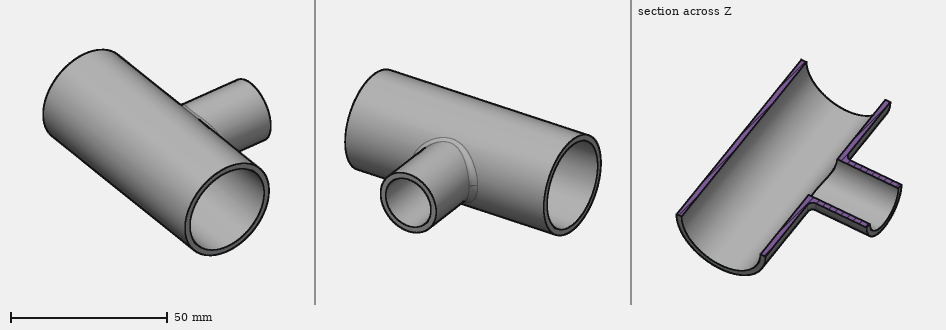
import cadquery as cq

RUN_LENGTH = 76.0
RUN_OUTER_DIAMETER = 33.7
RUN_BORE_DIAMETER = 29.7
BRANCH_OUTER_DIAMETER = 21.3
BRANCH_BORE_DIAMETER = 17.3
BRANCH_REACH = 38.0
JUNCTION_FILLET = 2.0

RUN_OUTER_RADIUS = RUN_OUTER_DIAMETER / 2


def run_cylinder(diameter):
    """Cylinder along X, centred on the origin."""
    return cq.Workplane("YZ").circle(diameter / 2).extrude(RUN_LENGTH / 2, both=True)


def branch_cylinder(diameter):
    """Cylinder along +Y, from the run axis to the branch end."""
    return cq.Workplane("XZ").circle(diameter / 2).extrude(-BRANCH_REACH)


def junction_edges(body):
    """Select the saddle curve where the branch meets the outside of the run."""
    junction_zone = cq.selectors.BoxSelector(
        (-BRANCH_OUTER_DIAMETER, RUN_OUTER_RADIUS / 2, -BRANCH_OUTER_DIAMETER),
        (BRANCH_OUTER_DIAMETER, RUN_OUTER_RADIUS, BRANCH_OUTER_DIAMETER),
    )
    return body.edges(junction_zone)


def outer_body():
    """Solid run and branch, blended at their junction."""
    body = run_cylinder(RUN_OUTER_DIAMETER).union(branch_cylinder(BRANCH_OUTER_DIAMETER))
    return junction_edges(body).fillet(JUNCTION_FILLET)


result = (
    outer_body()
    .cut(run_cylinder(RUN_BORE_DIAMETER))
    .cut(branch_cylinder(BRANCH_BORE_DIAMETER))
)